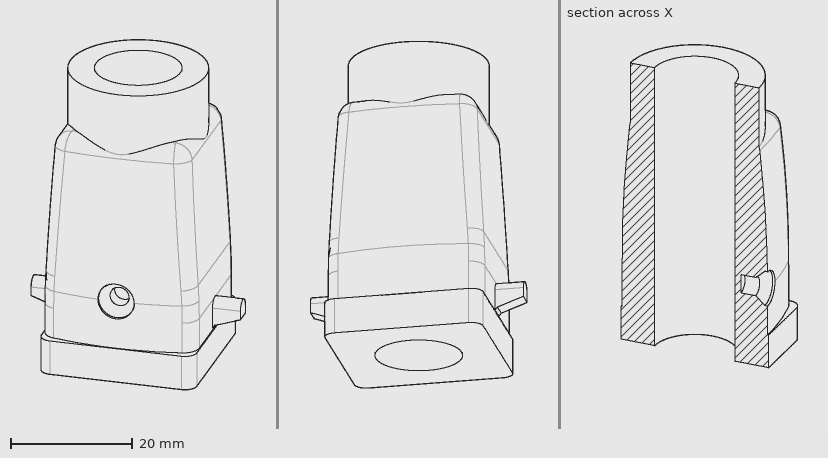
import cadquery as cq
import math

height = 51
collar_side = 26.7
collar_height = 6.0
collar_corner_radius = 2.05

shoulder_height = 39.45
housing_height = 42.1
low_half_width = 13.2
shoulder_half_width = 11.75
shoulder_half_depth = 11.85
bend_start = 11.35
bend_end = 17.35
bow_start = 14.45
low_sagitta = 1.75
top_sagitta = 1.15
bow_steps = 4
corner_radius = 2.75
top_edge_radius = 2.85

neck_diameter = 23.3
bore_diameter = 14.5

peg_span = 36.0
peg_width = 3.0
peg_top = 11.5
peg_tip_bottom = 8.4
peg_knee_reach = 13.6
peg_knee_bottom = 6.9
peg_root_bottom = 6.4
peg_inner_end = 11.2

recess_mouth_diameter = 6.2
recess_hole_diameter = 3.25
recess_mouth_depth = 0.5
recess_cone_end_depth = 2.2
recess_total_depth = 4.85


def make_collar():
    block = cq.Workplane("XY").rect(collar_side, collar_side).extrude(collar_height)
    return block.edges("|Z").fillet(collar_corner_radius)


def x_side_prism():
    """Upright below, tapered above, with a tangent bend on both X sides."""
    bend_middle = (bend_start + bend_end) / 2
    slope = (low_half_width - shoulder_half_width) / (shoulder_height - bend_middle)

    def tapered_half_width(z):
        return low_half_width - slope * (z - bend_middle)

    half_outline = (
        cq.Workplane("XZ")
        .lineTo(low_half_width, 0)
        .lineTo(low_half_width, bend_start)
        .tangentArcPoint((tapered_half_width(bend_end), bend_end), relative=False)
        .lineTo(tapered_half_width(housing_height), housing_height)
        .lineTo(0, housing_height)
    )
    return half_outline.mirrorY().extrude(collar_side / 2, both=True)


def bowed_half_depth(z):
    """Half depth at mid width: a circular arc that leaves the lower part upright."""
    rise = shoulder_height - bow_start
    drop = low_half_width - shoulder_half_depth
    radius = (rise**2 + drop**2) / (2 * drop)
    return low_half_width - radius + math.sqrt(radius**2 - (z - bow_start) ** 2)


def bowed_section(workplane, half_depth, sagitta):
    """Plan outline with flat X sides and arched Y sides."""
    edge = half_depth - sagitta
    return (
        workplane.moveTo(-low_half_width, -edge)
        .threePointArc((0, -half_depth), (low_half_width, -edge))
        .lineTo(low_half_width, edge)
        .threePointArc((0, half_depth), (-low_half_width, edge))
        .close()
    )


def y_side_block():
    """Block whose Y sides bulge across the width and lean inward above bow_start."""
    lower = bowed_section(cq.Workplane("XY"), low_half_width, low_sagitta).extrude(bow_start)
    rise = (housing_height - bow_start) / bow_steps
    upper = cq.Workplane("XY").workplane(offset=bow_start)
    for step in range(bow_steps + 1):
        if step > 0:
            upper = upper.workplane(offset=rise)
        sagitta = low_sagitta + (top_sagitta - low_sagitta) * step / bow_steps
        upper = bowed_section(upper, bowed_half_depth(bow_start + rise * step), sagitta)
    return lower.union(upper.loft())


def make_housing():
    body = x_side_prism().intersect(y_side_block())
    inner = shoulder_half_width - corner_radius
    for x in (-1, 1):
        for y in (-1, 1):
            near = (x * inner, y * inner, 0)
            far = (x * collar_side, y * collar_side, housing_height)
            body = body.edges(cq.selectors.BoxSelector(near, far)).fillet(corner_radius)
    return body.faces(">Z").edges().fillet(top_edge_radius)


def make_peg(side):
    """Peg with a half-round top and an underside that deepens toward the housing."""
    tip = peg_span / 2
    half_width = peg_width / 2
    round_start = peg_top - half_width
    bar = (
        cq.Workplane("YZ")
        .moveTo(-half_width, peg_root_bottom)
        .lineTo(half_width, peg_root_bottom)
        .lineTo(half_width, round_start)
        .threePointArc((0, peg_top), (-half_width, round_start))
        .close()
        .extrude(side * tip)
    )
    side_outline = (
        cq.Workplane("XZ")
        .moveTo(side * peg_inner_end, peg_top)
        .lineTo(side * tip, peg_top)
        .lineTo(side * tip, peg_tip_bottom)
        .lineTo(side * peg_knee_reach, peg_knee_bottom)
        .lineTo(side * low_half_width, peg_root_bottom)
        .lineTo(side * peg_inner_end, peg_root_bottom)
        .close()
        .extrude(peg_width, both=True)
    )
    return bar.intersect(side_outline)


def make_recess():
    """Short straight mouth, then a cone, then a narrow blind hole, turned about a Y axis."""
    mouth_radius = recess_mouth_diameter / 2
    hole_radius = recess_hole_diameter / 2
    return (
        cq.Workplane("XY", origin=(0, -low_half_width, bow_start))
        .lineTo(mouth_radius, 0)
        .lineTo(mouth_radius, recess_mouth_depth)
        .lineTo(hole_radius, recess_cone_end_depth)
        .lineTo(hole_radius, recess_total_depth)
        .lineTo(0, recess_total_depth)
        .close()
        .revolve(360, (0, 0, 0), (0, 1, 0))
    )


neck = cq.Workplane("XY").circle(neck_diameter / 2).extrude(height)
bore = cq.Workplane("XY").circle(bore_diameter / 2).extrude(height)

result = make_housing().union(make_collar()).union(neck)
for side in (-1, 1):
    result = result.union(make_peg(side))
result = result.cut(bore).cut(make_recess())